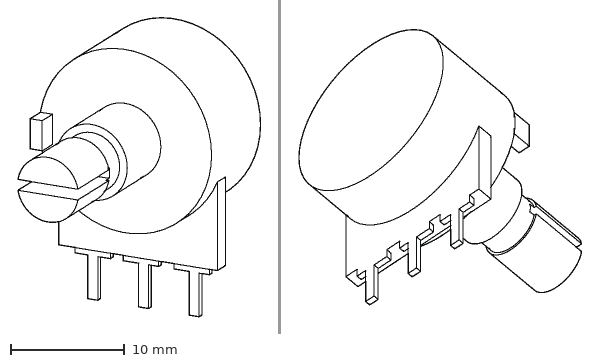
import cadquery as cq

OVERALL_HEIGHT = 25
BODY_DIAMETER = 17
BODY_LENGTH = 9.5
BUSHING_DIAMETER = 7
BUSHING_LENGTH = 6.5
NECK_DIAMETER = 5.5
NECK_LENGTH = 2.5
SHAFT_DIAMETER = 6
SHAFT_LENGTH = 6

SLOT_WIDTH = 1
SLOT_DEPTH = 6.55

TAB_LEFT = -8.38
TAB_WIDTH = 1.2
TAB_HEIGHT = 2.8
TAB_LENGTH = 2

PLATE_WIDTH = 15.65
PLATE_THICKNESS = 1.6
PLATE_BACK = 4.05
PLATE_BOTTOM = -11.55

PIN_PITCH = 5
PIN_WIDTH = 1
PIN_THICKNESS = 0.55
PIN_TIP = BODY_DIAMETER / 2 - OVERALL_HEIGHT
PAD_WIDTH = 3.5
PAD_HEIGHT = 0.9
PAD_SHIFT = -0.25


def y_cylinder(diameter, back, front):
    """Cylinder on the shaft axis between two Y positions."""
    return cq.Workplane("XZ", origin=(0, back, 0)).circle(diameter / 2).extrude(back - front)


def block(x_range, y_range, z_range):
    """Box given by its lower and upper limits on each axis."""
    limits = (x_range, y_range, z_range)
    sizes = [high - low for low, high in limits]
    corner = tuple(low for low, high in limits)
    return cq.Workplane("XY").box(*sizes, centered=False).translate(corner)


def turned_parts():
    """Body, bushing, neck and shaft stacked from back to front."""
    sections = [
        (BODY_DIAMETER, BODY_LENGTH),
        (BUSHING_DIAMETER, BUSHING_LENGTH),
        (NECK_DIAMETER, NECK_LENGTH),
        (SHAFT_DIAMETER, SHAFT_LENGTH),
    ]
    back = BODY_LENGTH
    solid = cq.Workplane("XY")
    for diameter, length in sections:
        solid = solid.add(y_cylinder(diameter, back, back - length))
        back -= length
    return solid.combine()


def screwdriver_slot():
    """Slot across the full shaft width, open at the shaft end."""
    shaft_end = -(BUSHING_LENGTH + NECK_LENGTH + SHAFT_LENGTH)
    return block(
        (-SHAFT_DIAMETER / 2, SHAFT_DIAMETER / 2),
        (shaft_end, shaft_end + SLOT_DEPTH),
        (-SLOT_WIDTH / 2, SLOT_WIDTH / 2),
    )


def locating_tab():
    """Anti-rotation tab standing on the body front face."""
    return block(
        (TAB_LEFT, TAB_LEFT + TAB_WIDTH),
        (-TAB_LENGTH, 0),
        (-TAB_HEIGHT / 2, TAB_HEIGHT / 2),
    )


def terminal_plate():
    """Plate hanging below the body, with its top buried in the body."""
    return block(
        (-PLATE_WIDTH / 2, PLATE_WIDTH / 2),
        (PLATE_BACK - PLATE_THICKNESS, PLATE_BACK),
        (PLATE_BOTTOM, 0),
    )


def terminal(pin_x, pad_x):
    """Pin and its wider pad, flush with the back of the plate."""
    y_range = (PLATE_BACK - PIN_THICKNESS, PLATE_BACK)
    pin = block(
        (pin_x - PIN_WIDTH / 2, pin_x + PIN_WIDTH / 2),
        y_range,
        (PIN_TIP, PLATE_BOTTOM),
    )
    pad = block(
        (pad_x - PAD_WIDTH / 2, pad_x + PAD_WIDTH / 2),
        y_range,
        (PLATE_BOTTOM - PAD_HEIGHT, PLATE_BOTTOM),
    )
    return pin.union(pad)


result = turned_parts().cut(screwdriver_slot()).union(locating_tab()).union(terminal_plate())
for pin_x, pad_shift in ((-PIN_PITCH, 0), (0, PAD_SHIFT), (PIN_PITCH, PAD_SHIFT)):
    result = result.union(terminal(pin_x, pin_x + pad_shift))